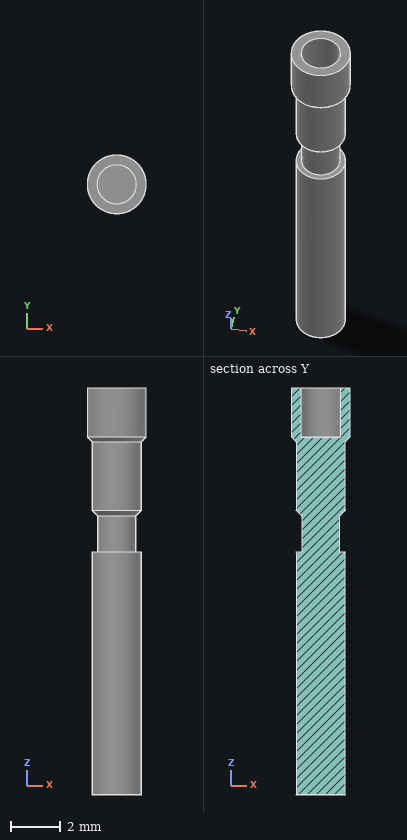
import cadquery as cq

total_length = 16.5
head_diameter = 2.4
body_diameter = 2.0
neck_diameter = 1.55
bore_diameter = 1.58

head_length = 2.0
shank_length = 9.85
neck_top = 11.3
bore_depth = 2.0

head_radius = head_diameter / 2
body_radius = body_diameter / 2
neck_radius = neck_diameter / 2

neck_taper_top = neck_top + body_radius - neck_radius
head_bottom = total_length - head_length
head_taper_bottom = head_bottom - (head_radius - body_radius)

outer_profile = (
    cq.Workplane("XZ")
    .moveTo(0, 0)
    .lineTo(body_radius, 0)
    .lineTo(body_radius, shank_length)
    .lineTo(neck_radius, shank_length)
    .lineTo(neck_radius, neck_top)
    .lineTo(body_radius, neck_taper_top)
    .lineTo(body_radius, head_taper_bottom)
    .lineTo(head_radius, head_bottom)
    .lineTo(head_radius, total_length)
    .lineTo(0, total_length)
    .close()
)
pin = outer_profile.revolve(360, (0, 0, 0), (0, 1, 0))

bore = (
    cq.Workplane("XY")
    .workplane(offset=total_length - bore_depth)
    .circle(bore_diameter / 2)
    .extrude(bore_depth)
)

result = pin.cut(bore)